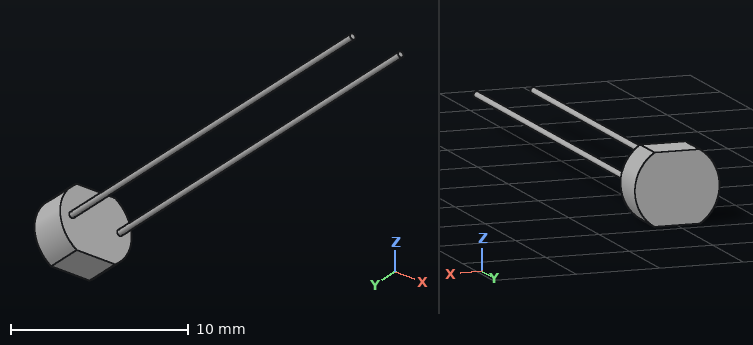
import cadquery as cq


total_length = 28.38
housing_diameter = 5.08
housing_height = 4.29
housing_thickness = 2.38
lead_diameter = 0.4
lead_spacing = 3.4

lead_length = total_length - housing_thickness


def make_housing():
    """Disc along Y, trimmed by parallel flats at the top and bottom."""
    disc = cq.Workplane("XZ").circle(housing_diameter / 2).extrude(-housing_thickness)
    flat_limits = cq.Workplane("XZ").rect(housing_diameter, housing_height).extrude(-housing_thickness)
    return disc.intersect(flat_limits)


def make_lead(x_position):
    """Round wire that butts against the front face and runs toward -Y."""
    front_face = cq.Plane(origin=(x_position, 0, 0), xDir=(1, 0, 0), normal=(0, -1, 0))
    return cq.Workplane(front_face).circle(lead_diameter / 2).extrude(lead_length)


housing = make_housing()
leads = [make_lead(side * lead_spacing / 2) for side in (-1, 1)]

result = cq.Compound.makeCompound([housing.val(), *[lead.val() for lead in leads]])